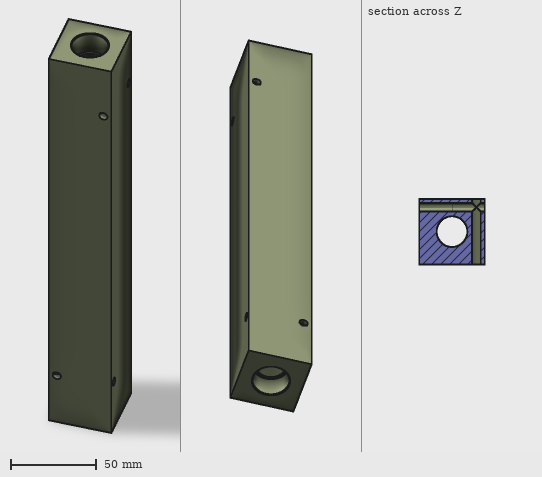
import cadquery as cq

length = 273.0
width = 38.2

bore_diameter = 17.7
counterbore_diameter = 21.3
counterbore_depth = 13.7
mouth_chamfer = 0.5

cross_hole_diameter = 5.0
cross_hole_edge_distance = 5.0
cross_hole_end_distance = 35.0

cross_hole_offset = width / 2 - cross_hole_edge_distance


def square_bar():
    return cq.Workplane("XY").rect(width, width).extrude(length)


def stepped_bore():
    """Solid of revolution filling the bore, from end to end."""
    bore_radius = bore_diameter / 2
    counterbore_radius = counterbore_diameter / 2
    mouth_radius = counterbore_radius + mouth_chamfer
    profile = [
        (0, 0),
        (mouth_radius, 0),
        (counterbore_radius, mouth_chamfer),
        (counterbore_radius, counterbore_depth),
        (bore_radius, counterbore_depth),
        (bore_radius, length - counterbore_depth),
        (counterbore_radius, length - counterbore_depth),
        (counterbore_radius, length - mouth_chamfer),
        (mouth_radius, length),
        (0, length),
    ]
    return cq.Workplane("XZ").polyline(profile).close().revolve(360, (0, 0), (0, 1))


def cross_holes(offset, height):
    """Two holes crossing at (offset, offset, height), one along X and one along Y."""
    radius = cross_hole_diameter / 2
    along_x = cq.Workplane("YZ").center(offset, height).circle(radius).extrude(width / 2, both=True)
    along_y = cq.Workplane("XZ").center(offset, height).circle(radius).extrude(width / 2, both=True)
    return along_x.union(along_y)


result = square_bar().cut(stepped_bore())
result = result.cut(cross_holes(-cross_hole_offset, cross_hole_end_distance))
result = result.cut(cross_holes(cross_hole_offset, length - cross_hole_end_distance))